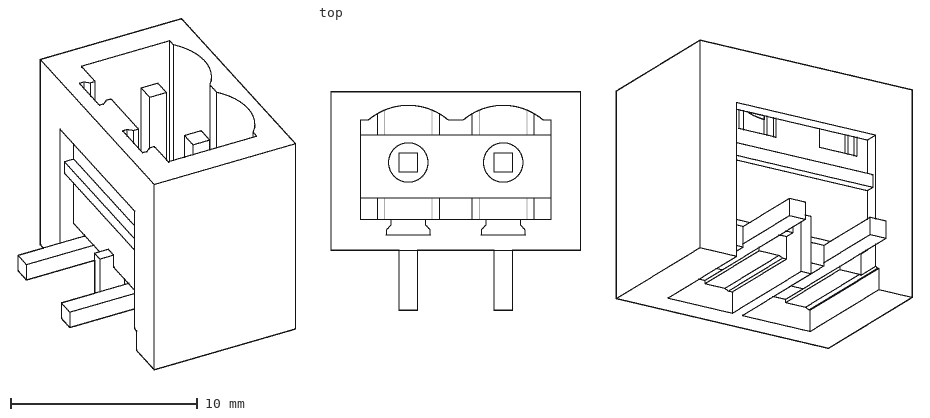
import cadquery as cq
import math


WIDTH = 13.36
DEPTH = 8.5
HEIGHT = 12.0

PIN_PITCH = 5.08
PIN_XS = (-PIN_PITCH / 2, PIN_PITCH / 2)
PIN_SIZE = 1.0
PIN_Y = 4.7
PIN_BOTTOM = 1.52
PIN_TOP = 11.05
PIN_REACH = 3.2
PIN_BACK = PIN_Y + PIN_SIZE / 2
LEG_TOP = PIN_BOTTOM + PIN_SIZE

CAVITY_WIDTH = 10.2
CAVITY_FRONT = 1.65
CAVITY_BACK = 6.97
CAVITY_FLOOR = 3.0
SCALLOP_HALF_WIDTH = 2.14
SCALLOP_RISE = 0.79

BAR_FRONT = 2.79
BAR_BACK = 6.17
BAR_TOP = 5.01
WELL_RADIUS = 1.05
WELL_DEPTH = 0.5

HUMP_HALF_WIDTH = 1.65
HUMP_ARC_HALF_WIDTH = 1.27
HUMP_SLOPE = math.radians(57)

WINDOW_HALF_WIDTH = 4.37
WINDOW_TOP = 8.88
PANEL_RECESS = 0.83
LOWER_RECESS = 1.48

RIB_BOTTOM = 5.96
RIB_TOP = 6.7
RIB_DEPTH = 0.56

KEY_FLOOR = 7.82
KEY_NECK = 1.86
KEY_WIDTH = 2.34
KEY_NECK_END = 1.36
KEY_WIDE_START = 1.1

HOLLOW_RIGHT = 4.58
HOLLOW_TOP = 1.34
HOLLOW_EDGE_TOP = 1.23
STEP_START = 0.56
STEP_RUN = 0.23
DIVIDER_THICKNESS = 0.63
DIVIDER_TOP = 3.31


def box(x0, x1, y0, y1, z0, z1):
    """Box between two opposite corners."""
    return cq.Workplane("XY").box(x1 - x0, y1 - y0, z1 - z0, centered=False).translate((x0, y0, z0))


def extrude_along_y(outline, y0, y1):
    """Prism of a closed XZ outline, from y0 to y1."""
    return outline.extrude(y0 - y1).translate((0, y0, 0))


def make_cavity():
    """Mating cavity: straight at the front, with one scallop per pin in the back wall."""
    half = CAVITY_WIDTH / 2
    outline = cq.Workplane("XY", origin=(0, 0, CAVITY_FLOOR)).moveTo(-half, CAVITY_FRONT)
    outline = outline.lineTo(-half, CAVITY_BACK)
    for x in PIN_XS:
        outline = outline.lineTo(x - SCALLOP_HALF_WIDTH, CAVITY_BACK).threePointArc(
            (x, CAVITY_BACK + SCALLOP_RISE), (x + SCALLOP_HALF_WIDTH, CAVITY_BACK)
        )
    outline = outline.lineTo(half, CAVITY_BACK).lineTo(half, CAVITY_FRONT).close()
    return outline.extrude(HEIGHT - CAVITY_FLOOR)


def make_bar():
    """Raised bar the full width of the cavity."""
    half = CAVITY_WIDTH / 2
    return box(-half, half, BAR_FRONT, BAR_BACK, CAVITY_FLOOR, BAR_TOP)


def make_hump(x):
    """Hump along Y with sloping sides that run tangent into a round top."""
    radius = HUMP_ARC_HALF_WIDTH / math.sin(HUMP_SLOPE)
    arc_z = CAVITY_FLOOR + (HUMP_HALF_WIDTH - HUMP_ARC_HALF_WIDTH) * math.tan(HUMP_SLOPE)
    top_z = arc_z + radius * (1 - math.cos(HUMP_SLOPE))
    outline = (
        cq.Workplane("XZ")
        .moveTo(x - HUMP_HALF_WIDTH, CAVITY_FLOOR)
        .lineTo(x - HUMP_ARC_HALF_WIDTH, arc_z)
        .threePointArc((x, top_z), (x + HUMP_ARC_HALF_WIDTH, arc_z))
        .lineTo(x + HUMP_HALF_WIDTH, CAVITY_FLOOR)
        .close()
    )
    return extrude_along_y(outline, CAVITY_FRONT, CAVITY_BACK + SCALLOP_RISE)


def make_well(x):
    """Round well in the bar around a pin."""
    well = cq.Workplane("XY", origin=(x, PIN_Y, BAR_TOP - WELL_DEPTH))
    return well.circle(WELL_RADIUS).extrude(WELL_DEPTH)


def make_keyway(x):
    """Dovetail keyway, from its floor up through the top face."""
    neck = KEY_NECK / 2
    wide = KEY_WIDTH / 2
    outline = cq.Workplane("XY", origin=(x, 0, KEY_FLOOR)).polyline(
        [
            (-neck, CAVITY_FRONT),
            (-neck, KEY_NECK_END),
            (-wide, KEY_WIDE_START),
            (-wide, PANEL_RECESS),
            (wide, PANEL_RECESS),
            (wide, KEY_WIDE_START),
            (neck, KEY_NECK_END),
            (neck, CAVITY_FRONT),
        ]
    )
    return outline.close().extrude(HEIGHT - KEY_FLOOR)


def make_window():
    """Window recess in the front, deeper below the level of the pin legs."""
    half = WINDOW_HALF_WIDTH
    upper = box(-half, half, 0, PANEL_RECESS, 0, WINDOW_TOP)
    lower = box(-half, half, 0, LOWER_RECESS, 0, LEG_TOP)
    return upper.union(lower)


def make_rib():
    """Rib standing on the panel, across the whole window."""
    half = WINDOW_HALF_WIDTH
    return box(-half, half, PANEL_RECESS - RIB_DEPTH, PANEL_RECESS, RIB_BOTTOM, RIB_TOP)


def make_hollow():
    """Hollow in the underside, open at the front; its roof steps down at the middle and at the right."""
    right_step = PIN_PITCH - STEP_START
    outline = cq.Workplane("XZ").polyline(
        [
            (-WINDOW_HALF_WIDTH, 0),
            (-WINDOW_HALF_WIDTH, HOLLOW_TOP),
            (-STEP_START - STEP_RUN, HOLLOW_TOP),
            (-STEP_START, HOLLOW_EDGE_TOP),
            (STEP_START, HOLLOW_EDGE_TOP),
            (STEP_START + STEP_RUN, HOLLOW_TOP),
            (right_step - STEP_RUN, HOLLOW_TOP),
            (right_step, HOLLOW_EDGE_TOP),
            (HOLLOW_RIGHT, HOLLOW_EDGE_TOP),
            (HOLLOW_RIGHT, 0),
        ]
    )
    return extrude_along_y(outline.close(), 0, CAVITY_BACK)


def make_divider():
    """Wall between the two pin legs, tall in the window and low inside the hollow."""
    half = DIVIDER_THICKNESS / 2
    front = box(-half, half, 0, LOWER_RECESS, 0, DIVIDER_TOP)
    inner = box(-half, half, 0, CAVITY_BACK, 0, HOLLOW_EDGE_TOP)
    return front.union(inner)


def make_pin_passage(x):
    """Hole for the upright of a pin and a channel for its leg, over a relief as long as the hollow."""
    half = PIN_SIZE / 2
    upright = box(x - half, x + half, PIN_Y - half, PIN_BACK, PIN_BOTTOM, BAR_TOP)
    channel = box(x - half, x + half, LOWER_RECESS, PIN_BACK, PIN_BOTTOM, LEG_TOP)
    relief = box(x - half, x + half, LOWER_RECESS, CAVITY_BACK, HOLLOW_EDGE_TOP, PIN_BOTTOM)
    return upright.union(channel).union(relief)


def make_housing():
    """Housing with its cavity, window, hollow and pin passages."""
    body = box(-WIDTH / 2, WIDTH / 2, 0, DEPTH, 0, HEIGHT)
    body = body.cut(make_cavity()).union(make_bar())
    for x in PIN_XS:
        body = body.union(make_hump(x)).cut(make_well(x)).cut(make_keyway(x))
    body = body.cut(make_window()).cut(make_hollow())
    body = body.union(make_rib()).union(make_divider())
    for x in PIN_XS:
        body = body.cut(make_pin_passage(x))
    return body


def make_pin(x):
    """Right-angled square pin: an upright in the cavity and a leg out of the front."""
    half = PIN_SIZE / 2
    upright = box(x - half, x + half, PIN_Y - half, PIN_BACK, PIN_BOTTOM, PIN_TOP)
    leg = box(x - half, x + half, -PIN_REACH, PIN_BACK, PIN_BOTTOM, LEG_TOP)
    return upright.union(leg)


housing = make_housing()
pins = [make_pin(x) for x in PIN_XS]
result = cq.Compound.makeCompound([housing.val(), *[pin.val() for pin in pins]])